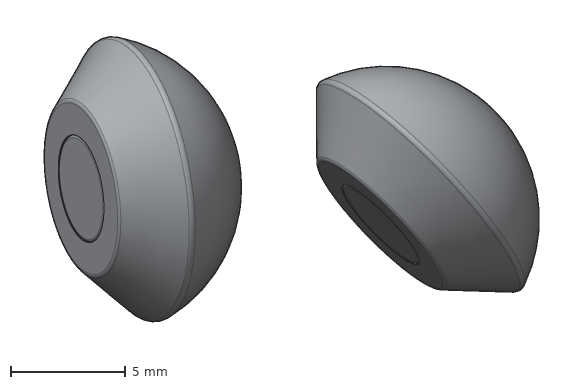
import cadquery as cq
import math

outer_radius = 6.32
total_depth = 7.05
face_radius = 3.92
edge_round = 0.25
cone_angle = math.radians(45)

magnet_radius = 2.39
magnet_depth = 3.16
magnet_edge_round = 0.13

rim_center_radius = outer_radius - edge_round
rim_center_y = (
    (rim_center_radius - face_radius) * math.tan(cone_angle) + edge_round / math.cos(cone_angle)
)
rim_to_apex = total_depth - rim_center_y
dome_radius = (
    (rim_center_radius**2 + rim_to_apex**2 - edge_round**2) / (2 * (rim_to_apex - edge_round))
)
dome_center_y = total_depth - dome_radius
dome_edge_angle = math.atan2(rim_center_y - dome_center_y, rim_center_radius)


def rim_point(angle):
    """Point on the rim arc, as (radius, Y), at an angle from the radial direction."""
    return (
        rim_center_radius + edge_round * math.cos(angle),
        rim_center_y + edge_round * math.sin(angle),
    )


def dome_point(angle):
    """Point on the dome, as (radius, Y), at an angle from the radial direction."""
    return (
        dome_radius * math.cos(angle),
        dome_center_y + dome_radius * math.sin(angle),
    )


def revolve_about_y(profile):
    return profile.close().revolve(360, (0, 0, 0), (0, 1, 0))


def make_disc(radius, depth):
    """Plain disc on the Y axis, from the flat face at Y = 0 inward."""
    return revolve_about_y(
        cq.Workplane("XY").lineTo(radius, 0).lineTo(radius, depth).lineTo(0, depth)
    )


def make_housing():
    dome_middle_angle = (dome_edge_angle + math.pi / 2) / 2
    profile = (
        cq.Workplane("XY")
        .lineTo(face_radius, 0)
        .lineTo(*rim_point(-cone_angle))
        .threePointArc(rim_point(0), rim_point(dome_edge_angle))
        .threePointArc(dome_point(dome_middle_angle), (0, total_depth))
    )
    cap = revolve_about_y(profile).faces("<Y").edges().fillet(edge_round)
    return cap.cut(make_disc(magnet_radius, magnet_depth))


def make_magnet():
    return make_disc(magnet_radius, magnet_depth).faces("<Y").edges().fillet(magnet_edge_round)


housing = make_housing()
magnet = make_magnet()

result = cq.Compound.makeCompound([housing.solids().val(), magnet.solids().val()])